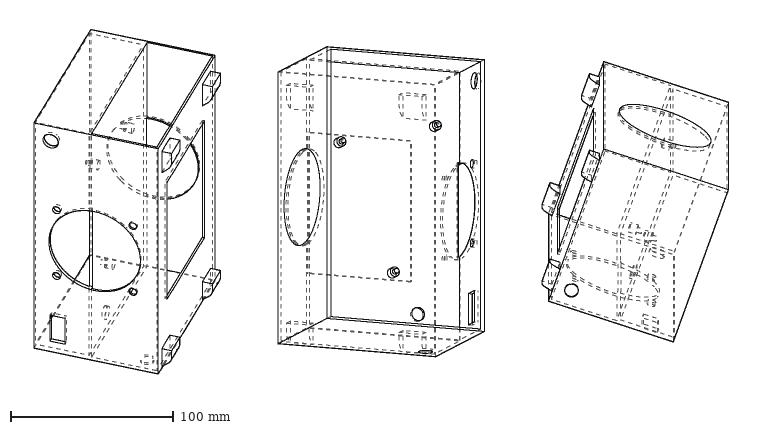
import cadquery as cq

depth = 81.5
width = 104.7
height = 171.4
shell_wall = 1.4
front_side_wall = 2.5
divider_front = 35.3
divider_thickness = 2.0
divider_back = divider_front + divider_thickness

fan_diameter = 60.0
fan_x = 39.8
fan_z = 83.5
fan_cut_depth = 3.3
screw_diameter = 5.0
screw_pitch = 50.0

plug_diameter = 60.0
plug_x = 41.3
plug_z = 84.7
plug_thickness = front_side_wall

side_hole_diameter = 10.0
side_hole_x = 11.0
side_hole_z = 160.1
socket_x = 15.5
socket_z = 17.8
socket_length = 10.0
socket_height = 19.7
cable_hole_diameter = 8.4
floor_hole_x = 70.3
floor_hole_y = 11.1
divider_hole_y = 30.0
divider_hole_z = 15.6

window_y = 50.9
window_z = 90.3
window_width = 68.7
window_height = 88.8

post_diameter = 6.0
post_length = 5.0
pin_diameter = 3.0
pin_length = 3.0
post_places = [(19.5, 134.5), (83.0, 119.3), (47.5, 40.0)]

hook_reach = 88.0 - depth
hook_width = 15.0
upper_hook_straight = 6.2
hook_starts_y = [6.5, 81.5]
upper_hook_top = 164.9
upper_hook_height = 16.1
lower_hook_top = 14.9
lower_hook_straight = 5.0
lower_hook_height = 13.5


def box_between(low, high):
    """Box between two opposite corners."""
    size = [b - a for a, b in zip(low, high)]
    return cq.Workplane("XY").box(*size, centered=False).translate(low)


def cylinder_x(diameter, length, x, y, z):
    """Cylinder from x toward +X."""
    return cq.Workplane("YZ", origin=(x, y, z)).circle(diameter / 2).extrude(length)


def cylinder_y(diameter, length, x, y, z):
    """Cylinder from y toward +Y."""
    return cq.Workplane("XZ", origin=(x, y, z)).circle(diameter / 2).extrude(-length)


def make_shell():
    """Box with a compartment open to -X and another open to +Z."""
    front_space = box_between(
        (0, front_side_wall, shell_wall),
        (divider_front, width - front_side_wall, height - shell_wall),
    )
    rear_space = box_between(
        (divider_back, shell_wall, shell_wall),
        (depth - shell_wall, width - shell_wall, height),
    )
    return box_between((0, 0, 0), (depth, width, height)).cut(front_space).cut(rear_space)


def cut_side_openings(body):
    """Fan opening, screw holes, round hole and socket in the -Y wall."""
    body = body.cut(cylinder_y(fan_diameter, fan_cut_depth, fan_x, 0, fan_z))
    for x_side in (-1, 1):
        for z_side in (-1, 1):
            x = fan_x + x_side * screw_pitch / 2
            z = fan_z + z_side * screw_pitch / 2
            body = body.cut(cylinder_y(screw_diameter, front_side_wall, x, 0, z))
    body = body.cut(cylinder_y(side_hole_diameter, front_side_wall, side_hole_x, 0, side_hole_z))
    socket = box_between(
        (socket_x - socket_length / 2, 0, socket_z - socket_height / 2),
        (socket_x + socket_length / 2, front_side_wall, socket_z + socket_height / 2),
    )
    return body.cut(socket)


def cut_window(body):
    """Rectangular window through the +X wall."""
    window = box_between(
        (depth - shell_wall, window_y - window_width / 2, window_z - window_height / 2),
        (depth, window_y + window_width / 2, window_z + window_height / 2),
    )
    return body.cut(window)


def cut_cable_holes(body):
    """Round holes through the divider and the rear floor."""
    divider_hole = cylinder_x(
        cable_hole_diameter, divider_thickness, divider_front, divider_hole_y, divider_hole_z
    )
    floor_hole = (
        cq.Workplane("XY", origin=(floor_hole_x, floor_hole_y, 0))
        .circle(cable_hole_diameter / 2)
        .extrude(shell_wall)
    )
    return body.cut(divider_hole).cut(floor_hole)


def make_post(y, z):
    """Stepped post standing on the divider toward -X."""
    post_end = divider_front - post_length
    post = cylinder_x(post_diameter, post_length, post_end, y, z)
    pin = cylinder_x(pin_diameter, pin_length, post_end - pin_length, y, z)
    return post.union(pin)


def make_hook(y, top, straight, drop):
    """Hook with a flat top and a rounded lower flank, starting at y."""
    tip_x = depth + hook_reach
    tip_low = top - straight
    root_low = top - drop
    return (
        cq.Workplane("XZ", origin=(0, y, 0))
        .moveTo(depth, top)
        .lineTo(tip_x, top)
        .lineTo(tip_x, tip_low)
        .spline([(depth, root_low)], tangents=[(0, -1), (-1, -1)], includeCurrent=True)
        .close()
        .extrude(-hook_width)
    )


def make_plug():
    """Disc closing the round hole in the +Y wall."""
    return cylinder_y(plug_diameter, plug_thickness, plug_x, width - plug_thickness, plug_z)


def make_housing():
    body = cut_side_openings(make_shell())
    body = cut_cable_holes(cut_window(body))
    for y, z in post_places:
        body = body.union(make_post(y, z))
    for y in hook_starts_y:
        body = body.union(make_hook(y, upper_hook_top, upper_hook_straight, upper_hook_height))
        body = body.union(make_hook(y, lower_hook_top, lower_hook_straight, lower_hook_height))
    return body.cut(make_plug()).solids()


housing = make_housing()
plug = make_plug()
result = cq.Compound.makeCompound([housing.val(), plug.val()])